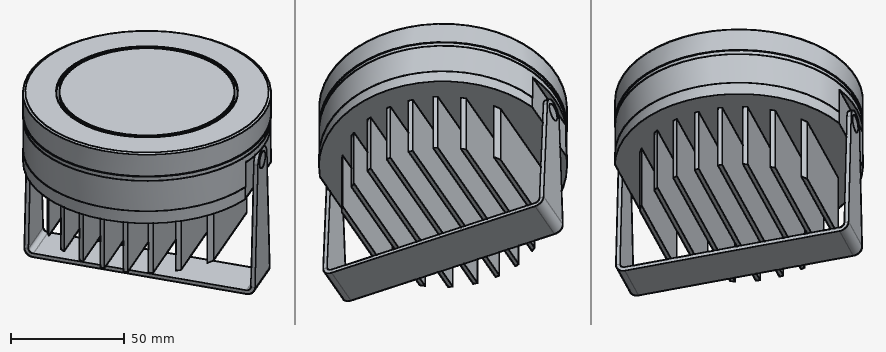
import cadquery as cq
import math

lamp_radius = 54.8
lamp_height = 35.5
rim_chamfer_width = 1.1
rim_chamfer_height = 0.5

groove_outer_radius = 40.0
groove_inner_radius = 38.8
groove_depth = 1.2
lip_chamfer = 0.2

wall_groove_top = 11.6
wall_groove_height = 0.2
wall_groove_depth = 0.2
band_top = 13.9
band_bottom = 29.4
band_recess = 0.1

flat_offset = 52.0
flat_top = 17.1

pivot_depth = 24.4
pivot_radius = 4.0

fin_count = 8
fin_row_width = 75.8
fin_thickness = 2.0
fin_length = 30.9
fin_circle_radius = 44.9

total_height = 88.3
bracket_thickness = 2.0
bend_inner_radius = 2.2
foot_width = 20.0
eye_radius = 6.0

fin_pitch = fin_row_width / (fin_count - 1)
bracket_half_span = flat_offset + bracket_thickness
bend_outer_radius = bend_inner_radius + bracket_thickness
eye_top = eye_radius - pivot_depth


def make_pivot_cylinder():
    """Cylinder along the pivot axis, from one outer face of the bracket to the other."""
    return (
        cq.Workplane("YZ")
        .center(0, -pivot_depth)
        .circle(pivot_radius)
        .extrude(bracket_half_span, both=True)
    )


def make_turned_head():
    """Round lamp head with its grooves and recessed band, before the flats are cut."""
    wall_groove_radius = lamp_radius - wall_groove_depth
    wall_groove_bottom = wall_groove_top + wall_groove_height
    band_radius = lamp_radius - band_recess
    profile = [
        (0, 0),
        (groove_inner_radius - lip_chamfer, 0),
        (groove_inner_radius, -lip_chamfer),
        (groove_inner_radius, -groove_depth),
        (groove_outer_radius, -groove_depth),
        (groove_outer_radius, -lip_chamfer),
        (groove_outer_radius + lip_chamfer, 0),
        (lamp_radius - rim_chamfer_width, 0),
        (lamp_radius, -rim_chamfer_height),
        (lamp_radius, -wall_groove_top),
        (wall_groove_radius, -wall_groove_top),
        (wall_groove_radius, -wall_groove_bottom),
        (lamp_radius, -wall_groove_bottom),
        (lamp_radius, -band_top),
        (band_radius, -band_top),
        (band_radius, -band_bottom),
        (lamp_radius, -band_bottom),
        (lamp_radius, -lamp_height),
        (0, -lamp_height),
    ]
    return cq.Workplane("XZ").polyline(profile).close().revolve(360, (0, 0, 0), (0, 1, 0))


def make_flat_cutter(side):
    """Block that cuts the flat on the +X side (side = 1) or the -X side (side = -1)."""
    flat_height = lamp_height - flat_top
    block_width = 2 * (lamp_radius - flat_offset)
    block_centre = (side * (flat_offset + block_width / 2), 0, -flat_top - flat_height / 2)
    return cq.Workplane("XY").box(block_width, 2 * lamp_radius, flat_height).translate(block_centre)


def make_lamp():
    """Lamp head with a flat on each side; a boss on each flat carries the bracket."""
    head = make_turned_head()
    for side in (-1, 1):
        head = head.cut(make_flat_cutter(side))
    return head.union(make_pivot_cylinder())


def make_fin(x):
    """Flat cooling fin under the lamp at the given x, its ends trimmed to the fin circle."""
    slab = cq.Workplane("XY").box(fin_thickness, 2 * fin_circle_radius, fin_length).translate((x, 0, 0))
    disc = cq.Workplane("XY").circle(fin_circle_radius).extrude(fin_length / 2, both=True)
    return slab.intersect(disc).translate((0, 0, -lamp_height - fin_length / 2))


def make_u_block(half_width, bottom, bend_radius):
    """Block up to the top of the eyes, with its two lower long edges rounded."""
    height = eye_top - bottom
    return (
        cq.Workplane("XY")
        .box(2 * half_width, 2 * foot_width, height)
        .translate((0, 0, bottom + height / 2))
        .edges("|Y and <Z")
        .fillet(bend_radius)
    )


def make_arm_outline():
    """Side outline of the bracket: straight foot, then a taper tangent to the eye."""
    foot = foot_width / 2
    foot_bottom = -total_height
    foot_top = foot_bottom + bend_outer_radius
    drop = -pivot_depth - foot_top
    to_foot = math.atan2(drop, foot)
    tangent_angle = math.acos(eye_radius / math.hypot(foot, drop)) - to_foot
    tangent_y = eye_radius * math.cos(tangent_angle)
    tangent_z = eye_radius * math.sin(tangent_angle) - pivot_depth
    return (
        cq.Workplane("YZ")
        .moveTo(-foot, foot_bottom)
        .lineTo(foot, foot_bottom)
        .lineTo(foot, foot_top)
        .lineTo(tangent_y, tangent_z)
        .threePointArc((0, eye_top), (-tangent_y, tangent_z))
        .lineTo(-foot, foot_top)
        .close()
        .extrude(bracket_half_span, both=True)
    )


def make_bracket():
    """U-shaped strap whose two arms taper up to round eyes on the pivot bosses."""
    outside = make_u_block(bracket_half_span, -total_height, bend_outer_radius)
    inside = make_u_block(flat_offset, bracket_thickness - total_height, bend_inner_radius)
    strap = outside.cut(inside).intersect(make_arm_outline())
    return strap.cut(make_pivot_cylinder())


lamp = make_lamp().solids().val()
bracket = make_bracket().solids().val()

fins = []
for index in range(fin_count):
    fin_x = index * fin_pitch - fin_row_width / 2
    fins.append(make_fin(fin_x).solids().val())

result = cq.Compound.makeCompound([lamp, bracket, *fins])